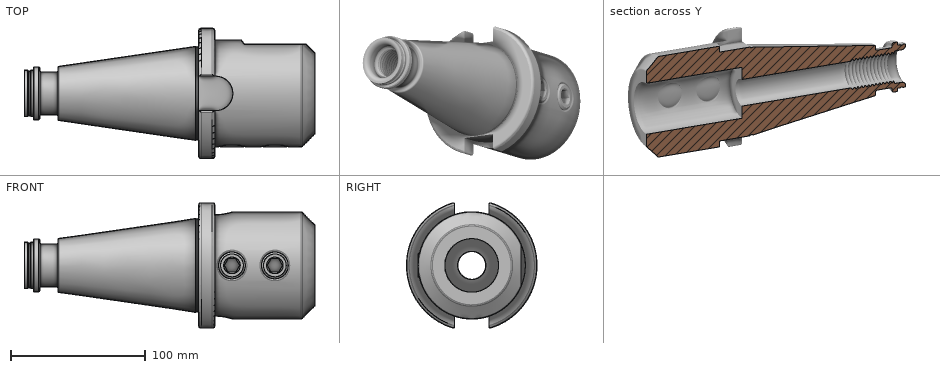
import cadquery as cq
import math


selection_margin = 0.1

taper_slope = 7 / 48
gauge_radius = 69.85 / 2
taper_length = 101.8
taper_end_radius = gauge_radius - taper_slope * taper_length
taper_end_fillet = 1.0
shank_length = 126.8

relief_start = 0.8
relief_end = 3.0
relief_depth = 0.4

neck_radius = 16.0
neck_fillet = 0.8
collar_radius = 39.6 / 2
collar_start = 6.6
collar_end = 11.6
collar_front_chamfer = 0.7
collar_back_chamfer = 1.0
tip_radius = 17.3
tip_groove_start = 2.4
tip_groove_width = 2.4
tip_groove_depth = 0.6

flange_radius = 97.5 / 2
flange_start = 3.2
flange_width = 12.0
flange_end = flange_start + flange_width
flange_fillet = 2.0

slot_width = 25.7
slot_floor = 35.3
slot_overrun = 0.6
slot_end_centre = flange_end + slot_overrun
slot_edge_fillet = 1.0

nose_radius = 40.0
nose_end = 90.0
nose_chamfer = 10.0
nose_edge_fillet = 1.5
flat_height = 36.7
flat_start = 37.2
flat_run_out = 2.4

thread_bore_radius = 20.75 / 2
pilot_radius = 12.7
pilot_depth = 9.0
pilot_cone_length = 1.2
mouth_fillet = 3.3
thread_root_radius = 12.0
thread_pitch = 3.0
thread_groove_width = 2.4
thread_turns = 12
thread_start = -shank_length + pilot_depth + pilot_cone_length
tool_bore_radius = 20.0
tool_bore_depth = 80.0

screw_radius = 10.0
screw_spacing = 32.0
screw_to_nose_end = 30.0
front_screw_x = nose_end - screw_to_nose_end
screw_positions = [front_screw_x - screw_spacing, front_screw_x]
screw_face = nose_radius
screw_length = screw_face - tool_bore_radius
screw_chamfer = 1.5
screw_hole_fillet = 1.1
hex_across_flats = 10.0
hex_depth = 8.0
hex_countersink_radius = 6.2


def revolve_about_x(points):
    profile = cq.Workplane("XY").polyline(points).close()
    return profile.revolve(360, (0, 0, 0), (1, 0, 0))


def make_shank():
    tip = -shank_length
    groove = tip + tip_groove_start
    collar_back = tip + collar_end
    collar = tip + collar_start
    relief_edge_radius = gauge_radius + taper_slope * relief_start
    relief_radius = relief_edge_radius - relief_depth
    shank = revolve_about_x([
        (tip, 0),
        (tip, tip_radius),
        (groove, tip_radius),
        (groove + tip_groove_depth, tip_radius - tip_groove_depth),
        (groove + tip_groove_width - tip_groove_depth, tip_radius - tip_groove_depth),
        (groove + tip_groove_width, tip_radius),
        (collar, tip_radius),
        (collar, collar_radius - collar_front_chamfer),
        (collar + collar_front_chamfer, collar_radius),
        (collar_back - collar_back_chamfer, collar_radius),
        (collar_back, collar_radius - collar_back_chamfer),
        (collar_back, neck_radius),
        (-taper_length, neck_radius),
        (-taper_length, taper_end_radius),
        (relief_start, relief_edge_radius),
        (relief_start + relief_depth, relief_radius),
        (relief_end - relief_depth, relief_radius),
        (relief_end, relief_edge_radius),
        (flange_start, relief_edge_radius),
        (flange_start, 0),
    ])
    smallest_circles = cq.selectors.RadiusNthSelector(0)
    largest_circle = cq.selectors.RadiusNthSelector(-1)
    shank = shank.edges(smallest_circles).fillet(neck_fillet)
    taper_end = cq.selectors.BoxSelector(
        (-taper_length - selection_margin, -collar_radius, -collar_radius),
        (-taper_length + selection_margin, collar_radius, collar_radius),
    )
    return shank.edges(taper_end).edges(largest_circle).fillet(taper_end_fillet)


def make_slot(side):
    """Driving slot at the top (side = 1) or bottom (side = -1), rounded at its nose end."""
    half = slot_width / 2
    return (
        cq.Workplane("XY", origin=(0, 0, side * slot_floor))
        .moveTo(flange_start, -half)
        .lineTo(slot_end_centre, -half)
        .threePointArc((slot_end_centre + half, 0), (slot_end_centre, half))
        .lineTo(flange_start, half)
        .close()
        .extrude(side * flange_radius)
    )


def make_flange():
    """Disc with rounded rims, slotted so that the slot mouths are rounded along X."""
    blank = cq.Workplane("YZ", origin=(flange_start, 0, 0)).circle(flange_radius).extrude(flange_width)
    slotted = blank
    for side in (1, -1):
        slotted = slotted.cut(make_slot(side))
    mouth_edges = slotted.edges("|X").edges(">Z or <Z")
    return mouth_edges.fillet(slot_edge_fillet).intersect(blank.edges().fillet(flange_fillet))


def make_nose():
    nose = (
        cq.Workplane("YZ", origin=(flange_end, 0, 0))
        .circle(nose_radius)
        .extrude(nose_end - flange_end)
        .faces(">X")
        .chamfer(nose_chamfer)
    )
    nose = nose.edges("%CIRCLE and (not <X)").fillet(nose_edge_fillet)
    flat_cut = (
        cq.Workplane("XY", origin=(0, 0, -nose_radius))
        .polyline([
            (flat_start, flat_height),
            (flat_start - flat_run_out, nose_radius),
            (nose_end, nose_radius),
            (nose_end, flat_height),
        ])
        .close()
        .extrude(2 * nose_radius)
    )
    nose = nose.cut(flat_cut)
    for side in (1, -1):
        nose = nose.cut(make_slot(side))
    return nose


def make_bore():
    tip = -shank_length
    pilot_end = tip + pilot_depth
    tool_bore_start = nose_end - tool_bore_depth
    diagonal = mouth_fillet * (1 - math.sqrt(0.5))
    profile = (
        cq.Workplane("XY")
        .moveTo(tip, 0)
        .lineTo(tip, pilot_radius + mouth_fillet)
        .threePointArc((tip + diagonal, pilot_radius + diagonal), (tip + mouth_fillet, pilot_radius))
        .lineTo(pilot_end, pilot_radius)
        .lineTo(pilot_end + pilot_cone_length, thread_bore_radius)
        .lineTo(tool_bore_start, thread_bore_radius)
        .lineTo(tool_bore_start, tool_bore_radius)
        .lineTo(nose_end, tool_bore_radius)
        .lineTo(nose_end, 0)
        .close()
    )
    return profile.revolve(360, (0, 0, 0), (1, 0, 0))


def make_thread_grooves():
    """Ring grooves with a V section standing for the drawbar thread."""
    half_groove = thread_groove_width / 2
    groove = revolve_about_x([
        (-half_groove, 0),
        (-half_groove, thread_bore_radius),
        (0, thread_root_radius),
        (half_groove, thread_bore_radius),
        (half_groove, 0),
    ])
    return [
        groove.translate((thread_start + half_groove + turn * thread_pitch, 0, 0))
        for turn in range(thread_turns)
    ]


def make_screw_hole(x):
    return cq.Workplane("XZ", origin=(x, 0, 0)).circle(screw_radius).extrude(2 * nose_radius)


def make_holder():
    nose = make_nose()
    for x in screw_positions:
        nose = nose.cut(make_screw_hole(x))
        reach = screw_radius + selection_margin
        rim = cq.selectors.BoxSelector(
            (x - reach, -nose_radius - selection_margin, -reach),
            (x + reach, -tool_bore_radius, reach),
            boundingbox=True,
        )
        nose = nose.edges(rim).edges("not |Y").fillet(screw_hole_fillet)
    holder = make_shank().union(make_flange()).union(nose).cut(make_bore())
    for groove in make_thread_grooves():
        holder = holder.cut(groove)
    return holder


def make_screw(x):
    """Headless screw with a hexagon socket, pointing along Y."""
    hex_across_corners = hex_across_flats / math.cos(math.pi / 6)
    head = cq.Workplane("XZ", origin=(x, -screw_face, 0))
    screw = head.circle(screw_radius).extrude(-screw_length).faces("<Y").chamfer(screw_chamfer)
    socket = head.polygon(6, hex_across_corners).extrude(-hex_depth)
    countersink = cq.Workplane(cq.Solid.makeCone(
        hex_countersink_radius, 0, hex_countersink_radius,
        cq.Vector(x, -screw_face, 0), cq.Vector(0, 1, 0)))
    return screw.cut(socket).cut(countersink)


holder = make_holder()
screws = [make_screw(x) for x in screw_positions]

result = cq.Compound.makeCompound([holder.val(), *[screw.val() for screw in screws]])